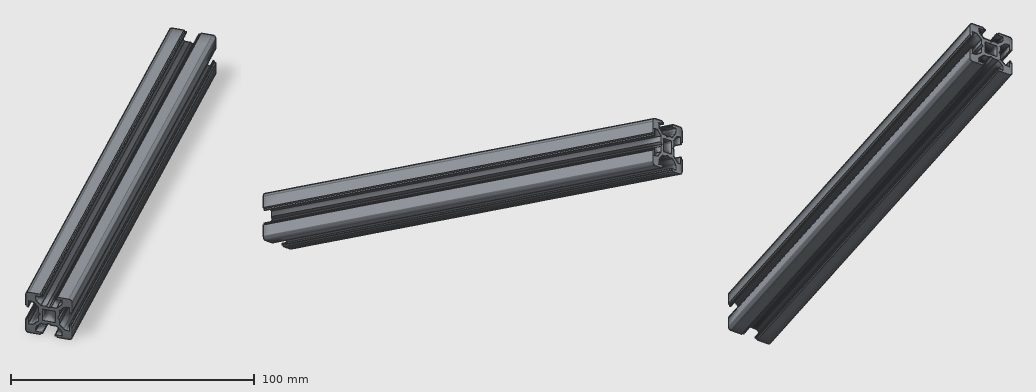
import cadquery as cq
import math

LENGTH = 200.0
SIDE = 20.0
CORNER_RADIUS = 1.5
MOUTH_WIDTH = 5.5
LIP_THICKNESS = 1.2
REBATE_WIDTH = 0.5
REBATE_DEPTH = 0.5
LIP_BEVEL = 0.5
SLOT_WIDTH = 11.5
SLOT_CORNER_RADIUS = 1.8
CORE_SIDE = 9.0
BORE_SIDE = 5.5
BORE_CORNER_RADIUS = 0.5
WEB_THICKNESS = 1.5
GROOVE_WIDTH = 2.0
GROOVE_DEPTH = 0.5

face = SIDE / 2
lip_inside = face - LIP_THICKNESS
rebate_floor = face - REBATE_DEPTH
mouth_half = MOUTH_WIDTH / 2
rebate_half = mouth_half + REBATE_WIDTH
slot_half = SLOT_WIDTH / 2
core_half = CORE_SIDE / 2
groove_half = GROOVE_WIDTH / 2
web_offset = WEB_THICKNESS / math.sqrt(2)


def prism(section):
    """Extrude a section on the XZ plane, centred on the origin along Y."""
    return section.extrude(LENGTH / 2, both=True)


def slot():
    """T-slot on the +Z side: stepped mouth, chamber and grooved floor."""
    right_side = [
        (groove_half, core_half),
        (core_half - web_offset, core_half),
        (slot_half, slot_half + web_offset),
        (slot_half, lip_inside),
        (mouth_half, lip_inside),
        (mouth_half, rebate_floor),
        (rebate_half, rebate_floor),
        (rebate_half + LIP_BEVEL, face),
    ]
    left_side = [(-x, z) for x, z in reversed(right_side)]
    groove_root = (0, core_half - GROOVE_DEPTH)
    outline = cq.Workplane("XZ").polyline([groove_root] + right_side + left_side).close()
    cutter = prism(outline)
    for x in (-slot_half, slot_half):
        corner = cq.NearestToPointSelector((x, 0, slot_half + web_offset))
        cutter = cutter.edges(corner).fillet(SLOT_CORNER_RADIUS)
    return cutter


bar = prism(cq.Workplane("XZ").rect(SIDE, SIDE)).edges("|Y").fillet(CORNER_RADIUS)
bore = prism(cq.Workplane("XZ").rect(BORE_SIDE, BORE_SIDE)).edges("|Y").fillet(BORE_CORNER_RADIUS)

top_slot = slot()

result = bar.cut(bore)
for angle in (0, 90, 180, 270):
    result = result.cut(top_slot.rotate((0, 0, 0), (0, 1, 0), angle))